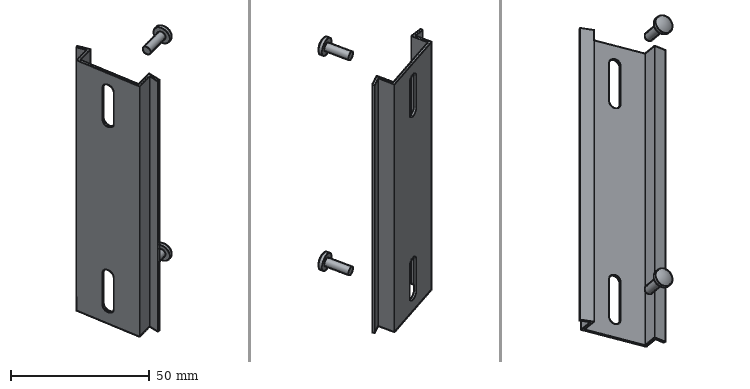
import cadquery as cq
import math

rail_length = 119.0
sheet = 1.0
web_width = 27.0
rail_depth = 8.0
rail_width = 35.3
lip_slope = 11.5

slot_width = 4.8
slot_length = 20.0
slot_end_gap = 5.5

overall_depth = 38.5
head_diameter = 7.0
rim_height = 1.4
dome_height = 1.2
shank_diameter = 3.5
shank_length = 10.0

end_signs = (-1, 1)
slot_offset = rail_length / 2 - slot_end_gap - slot_length / 2
screw_offset = rail_length / 2 - slot_end_gap - slot_width / 2
head_seat_y = overall_depth - dome_height - rim_height


def make_rail():
    outer_x = web_width / 2
    inner_x = outer_x - sheet
    tip_x = rail_width / 2
    slope = math.radians(lip_slope)
    tip_y = rail_depth - (tip_x - inner_x) * math.tan(slope)
    low_tip_x = tip_x - sheet * math.sin(slope)
    low_tip_y = tip_y - sheet * math.cos(slope)
    lip_root_y = low_tip_y + (low_tip_x - outer_x) * math.tan(slope)
    half_section = [
        (0, 0),
        (outer_x, 0),
        (outer_x, lip_root_y),
        (low_tip_x, low_tip_y),
        (tip_x, tip_y),
        (inner_x, rail_depth),
        (inner_x, sheet),
        (0, sheet),
    ]
    half_rail = (
        cq.Workplane("XY")
        .workplane(offset=-rail_length / 2)
        .polyline(half_section)
        .close()
        .extrude(rail_length)
    )
    rail = half_rail.union(half_rail.mirror("YZ")).clean()
    slots = (
        cq.Workplane("XZ")
        .pushPoints([(0, sign * slot_offset) for sign in end_signs])
        .slot2D(slot_length, slot_width, 90)
        .extrude(-sheet)
    )
    return rail.cut(slots)


def make_screw(z):
    head_radius = head_diameter / 2
    shank_radius = shank_diameter / 2
    rim_y = head_seat_y + rim_height
    crown_y = rim_y + dome_height
    dome_radius = (head_radius**2 + dome_height**2) / (2 * dome_height)
    half_angle = math.asin(head_radius / dome_radius) / 2
    dome_middle = (
        dome_radius * math.sin(half_angle),
        crown_y - dome_radius * (1 - math.cos(half_angle)),
    )
    return (
        cq.Workplane("XY", origin=(0, 0, z))
        .moveTo(0, head_seat_y - shank_length)
        .lineTo(shank_radius, head_seat_y - shank_length)
        .lineTo(shank_radius, head_seat_y)
        .lineTo(head_radius, head_seat_y)
        .lineTo(head_radius, rim_y)
        .threePointArc(dome_middle, (0, crown_y))
        .close()
        .revolve(360, (0, 0, 0), (0, 1, 0))
    )


rail = make_rail()
screws = [make_screw(sign * screw_offset) for sign in end_signs]
result = cq.Compound.makeCompound([rail.val(), *[screw.val() for screw in screws]])